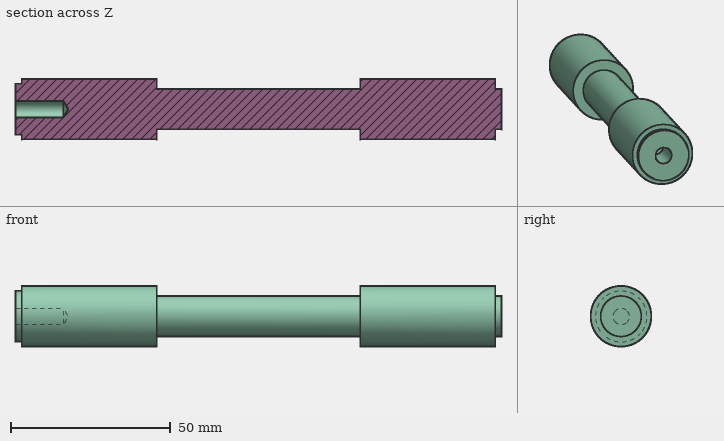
import cadquery as cq
import math

total_length = 152.02
collar_diameter = 19.05
shaft_diameter = 12.7
collar_gap = 63.5

left_spigot_diameter = 16.0
right_spigot_diameter = shaft_diameter
spigot_length = 2.0

hole_diameter = 5.1
hole_depth = 15.0
drill_point_angle = 118.0

collar_length = (total_length - collar_gap) / 2 - spigot_length
left_end = -total_length / 2


def cylinder_along_x(start, length, diameter):
    """Solid cylinder on the X axis, from start towards +X."""
    return cq.Workplane("YZ").workplane(offset=start).circle(diameter / 2).extrude(length)


def make_body():
    """Stack of coaxial cylinders from the left end to the right end."""
    sections = [
        (spigot_length, left_spigot_diameter),
        (collar_length, collar_diameter),
        (collar_gap, shaft_diameter),
        (collar_length, collar_diameter),
        (spigot_length, right_spigot_diameter),
    ]
    start = left_end
    body = cq.Workplane("YZ")
    for length, diameter in sections:
        body = body.add(cylinder_along_x(start, length, diameter))
        start += length
    return body.combine()


def make_drilled_hole():
    """Half profile of the hole, revolved about the X axis."""
    hole_radius = hole_diameter / 2
    tip_length = hole_radius / math.tan(math.radians(drill_point_angle / 2))
    hole_bottom = left_end + hole_depth
    return (
        cq.Workplane("XY")
        .moveTo(left_end, 0)
        .lineTo(left_end, hole_radius)
        .lineTo(hole_bottom, hole_radius)
        .lineTo(hole_bottom + tip_length, 0)
        .close()
        .revolve(360, (0, 0, 0), (1, 0, 0))
    )


result = make_body().cut(make_drilled_hole())